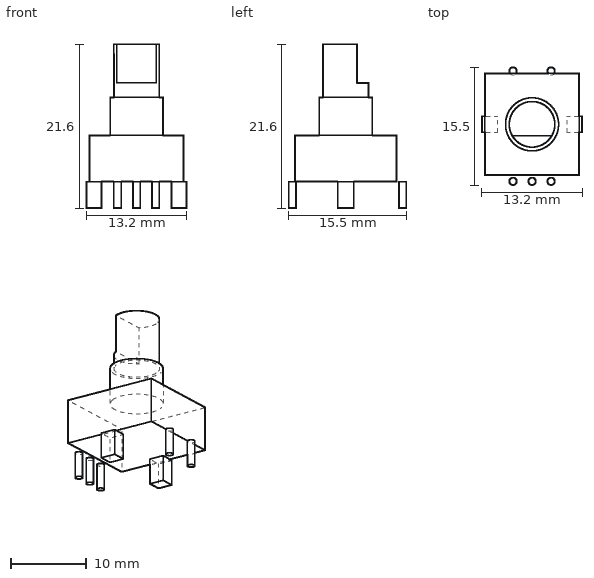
import cadquery as cq

HOUSING_X = 12.4
HOUSING_Y = 13.4
HOUSING_HEIGHT = 6.1
BUSHING_DIAMETER = 7.0
BUSHING_HEIGHT = 5.01
SHAFT_DIAMETER = 6.0
SHAFT_HEIGHT = 7.0
COLLAR_HEIGHT = 1.88
FLAT_OFFSET = 1.5

LEG_LENGTH = 3.5
PIN_DIAMETER = 1.0
PIN_PITCH = 2.5
FRONT_PIN_Y = -7.5
REAR_PIN_Y = 7.02

TAB_SPAN = 13.2
TAB_X = 2.0
TAB_Y = 2.14

bushing_top = HOUSING_HEIGHT + BUSHING_HEIGHT
flat_bottom = bushing_top + COLLAR_HEIGHT
flat_height = SHAFT_HEIGHT - COLLAR_HEIGHT
tab_center_x = (TAB_SPAN - TAB_X) / 2
front_pin_places = [(i * PIN_PITCH, FRONT_PIN_Y) for i in (-1, 0, 1)]
rear_pin_places = [(i * PIN_PITCH, REAR_PIN_Y) for i in (-1, 1)]


def cylinder(diameter, height, bottom):
    """Upright cylinder on the Z axis."""
    return cq.Workplane("XY").workplane(offset=bottom).circle(diameter / 2).extrude(height)


def make_shaft():
    """Round shaft with a D-shaped upper length, its flat facing -Y."""
    shaft = cylinder(SHAFT_DIAMETER, SHAFT_HEIGHT, bushing_top)
    flat_cutter = cq.Workplane("XY").box(
        SHAFT_DIAMETER, SHAFT_DIAMETER, flat_height, centered=(True, False, False)
    )
    flat_cutter = flat_cutter.translate((0, -FLAT_OFFSET - SHAFT_DIAMETER, flat_bottom))
    return shaft.cut(flat_cutter)


def make_encoder():
    """Housing, bushing and shaft as one solid."""
    housing = cq.Workplane("XY").box(
        HOUSING_X, HOUSING_Y, HOUSING_HEIGHT, centered=(True, True, False)
    )
    bushing = cylinder(BUSHING_DIAMETER, BUSHING_HEIGHT, HOUSING_HEIGHT)
    return housing.union(bushing).union(make_shaft())


def make_pin(x, y):
    """Round terminal pin hanging down from the plane of the housing underside."""
    return cylinder(PIN_DIAMETER, LEG_LENGTH, -LEG_LENGTH).translate((x, y, 0))


def make_tab(side):
    """Rectangular mounting tab under one X side of the housing."""
    tab = cq.Workplane("XY").box(TAB_X, TAB_Y, LEG_LENGTH, centered=(True, True, False))
    return tab.translate((side * tab_center_x, 0, -LEG_LENGTH))


encoder = make_encoder()
pins = [make_pin(x, y) for x, y in front_pin_places + rear_pin_places]
tabs = [make_tab(side) for side in (-1, 1)]

result = cq.Compound.makeCompound(
    [encoder.val(), *[pin.val() for pin in pins], *[tab.val() for tab in tabs]]
)